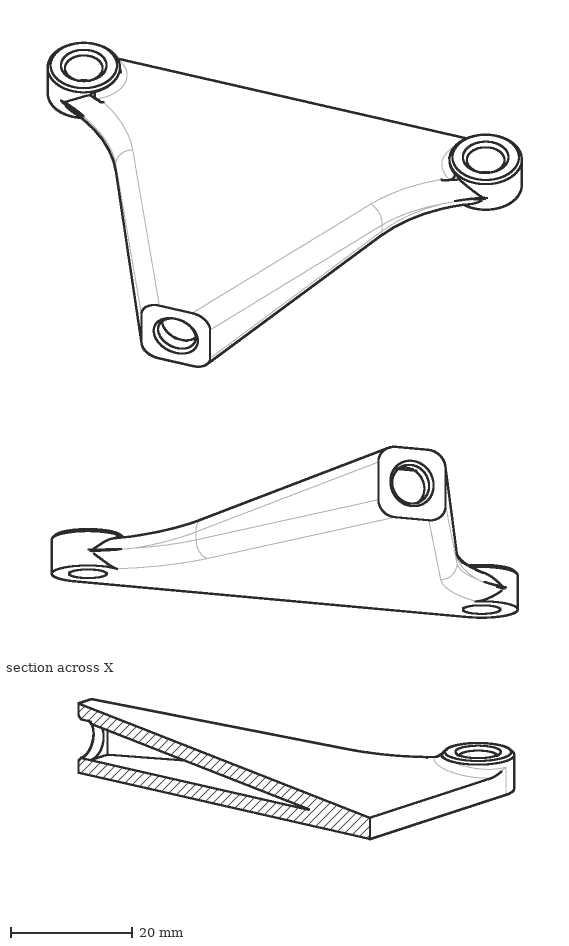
import cadquery as cq
import math

overall_width = 82.0
overall_length = 62.8
nose_size = 12.0

eye_diameter = 12.0
eye_height = 6.3
eye_chamfer = 0.5
eye_blend_radius = 1.2
bore_diameter = 6.2
bore_chamfer = 0.65

slope_angle = 7.5
flank_angle = 24.3
flank_arc_radius = 25.0
flank_fillet = 2.7

wall = 2.7
nose_hole_diameter = 6.6
nose_hole_chamfer = 0.6

eye_radius = eye_diameter / 2
eye_x = overall_width / 2 - eye_radius
rear_y = eye_radius
front_y = rear_y - overall_length
slope = math.tan(math.radians(slope_angle))
rear_thickness = nose_size - overall_length * slope


def flank_arc():
    """Start point and centre of the arc that joins the right flank to its eye."""
    along_x = math.sin(math.radians(flank_angle))
    along_y = math.cos(math.radians(flank_angle))
    to_eye_x = eye_x - nose_size / 2
    to_eye_y = -front_y
    eye_along = to_eye_x * along_x + to_eye_y * along_y
    eye_across = to_eye_x * along_y - to_eye_y * along_x
    reach = flank_arc_radius + eye_radius
    straight = eye_along - math.sqrt(reach**2 - (flank_arc_radius - eye_across) ** 2)
    start = (nose_size / 2 + straight * along_x, front_y + straight * along_y)
    center = (start[0] + flank_arc_radius * along_y, start[1] - flank_arc_radius * along_x)
    return start, center


def flank_points():
    """Start, middle and end of the right flank arc; its end lies on the eye."""
    start, center = flank_arc()
    start_angle = math.pi - math.radians(flank_angle)
    end_angle = math.atan2(-center[1], eye_x - center[0])

    def on_arc(angle):
        return (
            center[0] + flank_arc_radius * math.cos(angle),
            center[1] + flank_arc_radius * math.sin(angle),
        )

    return start, on_arc((start_angle + end_angle) / 2), on_arc(end_angle)


def mirrored(point):
    return (-point[0], point[1])


def plate_outline():
    arc_start, arc_middle, arc_end = flank_points()
    return (
        cq.Workplane("XY")
        .moveTo(-nose_size / 2, front_y)
        .lineTo(nose_size / 2, front_y)
        .lineTo(*arc_start)
        .threePointArc(arc_middle, arc_end)
        .lineTo(eye_x, 0)
        .lineTo(eye_x, rear_y)
        .lineTo(-eye_x, rear_y)
        .lineTo(-eye_x, 0)
        .lineTo(*mirrored(arc_end))
        .threePointArc(mirrored(arc_middle), mirrored(arc_start))
        .close()
    )


def is_flank_edge(edge):
    """True for the straight and curved edges that run along either flank."""
    ends_y = (edge.startPoint().y, edge.endPoint().y)
    return min(ends_y) < -eye_radius and abs(ends_y[0] - ends_y[1]) > eye_radius


def sloped_block():
    """Wide block under the sloping top face, deeper than the plate."""
    return (
        cq.Workplane("YZ")
        .moveTo(front_y, -nose_size)
        .lineTo(2 * rear_y, -nose_size)
        .lineTo(2 * rear_y, rear_thickness - rear_y * slope)
        .lineTo(front_y, nose_size)
        .close()
        .extrude(overall_width, both=True)
    )


def make_plate():
    lower_block = plate_outline().extrude(2 * nose_size)
    lower_edges = lower_block.faces("<Z").edges().filter(is_flank_edge)
    lower_block = lower_edges.fillet(flank_fillet)

    upper_block = plate_outline().extrude(3 * nose_size).translate((0, 0, -2 * nose_size))
    upper_block = upper_block.intersect(sloped_block())
    upper_edges = upper_block.faces(">Z").edges().filter(is_flank_edge)
    upper_block = upper_edges.fillet(flank_fillet)
    return lower_block.intersect(upper_block)


def make_eye():
    """Right eye with its chamfered top edge."""
    eye = cq.Workplane("XY").center(eye_x, 0).circle(eye_radius).extrude(eye_height)
    return eye.faces(">Z").edges().chamfer(eye_chamfer)


def make_eye_blend():
    """Fillet between the sloping top face and the right eye."""
    eye_axis = cq.Workplane("XY").center(eye_x, 0)
    eye_core = eye_axis.circle(eye_radius).extrude(eye_height + eye_blend_radius)
    blended = sloped_block().union(eye_core)
    blended = blended.edges("%ELLIPSE").fillet(eye_blend_radius)
    plate_space = plate_outline().extrude(eye_height - eye_chamfer)
    eye_space = eye_axis.circle(eye_radius + 2 * eye_blend_radius).extrude(eye_height)
    center = flank_arc()[1]
    rise = eye_height - flank_fillet
    run_out = (
        cq.Workplane("XY", origin=(center[0], center[1], flank_fillet))
        .circle(flank_arc_radius)
        .workplane(offset=rise)
        .circle(flank_arc_radius + rise)
        .loft()
    )
    above_base = cq.Workplane("XY", origin=(0, 0, flank_fillet))
    blend_layer = above_base.rect(2 * overall_width, 2 * overall_length).extrude(eye_height)
    return blended.intersect(plate_space).intersect(eye_space).intersect(blend_layer).cut(run_out)


def drill_eyes(body):
    for x in (-eye_x, eye_x):
        bore = cq.Workplane("XY").center(x, 0).circle(bore_diameter / 2).extrude(eye_height)
        rim = (
            cq.Workplane("XY", origin=(x, 0, eye_height - bore_chamfer))
            .circle(bore_diameter / 2)
            .workplane(offset=bore_chamfer)
            .circle(bore_diameter / 2 + bore_chamfer)
            .loft()
        )
        body = body.cut(bore).cut(rim)
    return body


def hollow_plate(body):
    """Hollow with walls parallel to the flanks, base and sloping top."""
    inner_space = plate_outline().offset2D(-wall).extrude(nose_size).translate((0, 0, wall))
    ceiling_drop = wall / math.cos(math.radians(slope_angle))
    return body.cut(inner_space.intersect(sloped_block().translate((0, 0, -ceiling_drop))))


def drill_nose(body):
    """Chamfered hole that runs through the nose wall into the hollow."""
    radius = nose_hole_diameter / 2
    profile = (
        cq.Workplane("XY", origin=(0, 0, nose_size / 2))
        .moveTo(0, front_y)
        .lineTo(radius + nose_hole_chamfer, front_y)
        .lineTo(radius, front_y + nose_hole_chamfer)
        .lineTo(radius, front_y + wall)
        .lineTo(0, front_y + wall)
        .close()
    )
    return body.cut(profile.revolve(360, (0, 0, 0), (0, 1, 0)))


right_corner = make_eye().union(make_eye_blend())
body = make_plate().union(right_corner).union(right_corner.mirror("YZ"))
body = drill_eyes(body)
body = hollow_plate(body)
result = drill_nose(body)